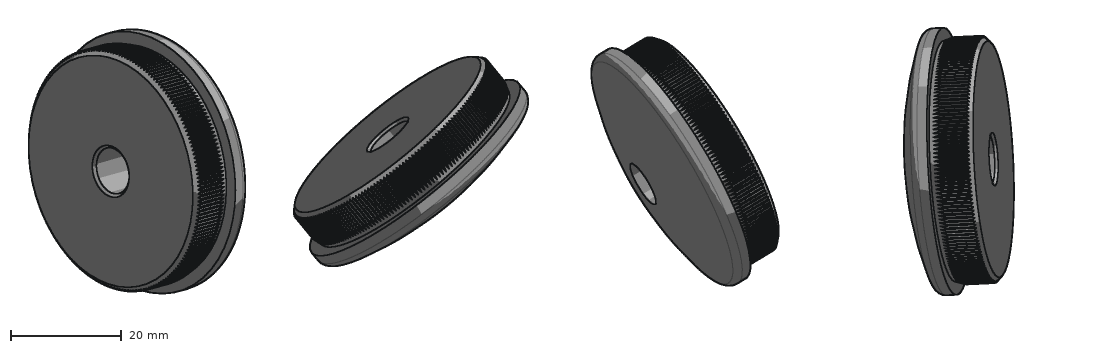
import cadquery as cq
import math

flange_radius = 24.15
total_height = 15.3
flange_seat = 7.95
flange_fillet = 1.5
dome_radius = 65.7

plug_radius = 22.35
plug_chamfer = 1.0
neck_radius = 21.8
knurl_top = 6.0

tooth_count = 190
groove_depth = 0.35
groove_width = 0.5

hole_radius = 4.25
hole_chamfer = 0.55

dome_centre = total_height - math.sqrt(dome_radius**2 - hole_radius**2)


def dome_height(radius):
    return dome_centre + math.sqrt(dome_radius**2 - radius**2)


def make_body():
    mid_radius = (hole_radius + flange_radius) / 2
    profile = (
        cq.Workplane("XY")
        .moveTo(hole_radius + hole_chamfer, 0)
        .lineTo(plug_radius - plug_chamfer, 0)
        .lineTo(plug_radius, plug_chamfer)
        .lineTo(plug_radius, knurl_top)
        .lineTo(neck_radius, flange_seat)
        .lineTo(flange_radius, flange_seat)
        .lineTo(flange_radius, dome_height(flange_radius))
        .threePointArc((mid_radius, dome_height(mid_radius)), (hole_radius, total_height))
        .lineTo(hole_radius, hole_chamfer)
        .close()
    )
    body = profile.revolve(360, (0, 0, 0), (0, 1, 0))
    dome_rim = body.faces(">Y").edges("<Y")
    return dome_rim.fillet(flange_fillet)


def make_knurl_cutter():
    """Return the ring whose toothed inner outline cuts V grooves and leaves flat-topped teeth."""
    pitch = 2 * math.pi / tooth_count
    half_groove = groove_width / (2 * plug_radius)
    points = []
    for tooth in range(tooth_count):
        groove_angle = tooth * pitch
        for radius, angle in (
            (plug_radius, groove_angle - half_groove),
            (plug_radius - groove_depth, groove_angle),
            (plug_radius, groove_angle + half_groove),
        ):
            points.append((radius * math.sin(angle), radius * math.cos(angle)))
    return (
        cq.Workplane("XZ")
        .circle(flange_radius)
        .polyline(points)
        .close()
        .extrude(-flange_seat)
    )


result = make_body().cut(make_knurl_cutter())